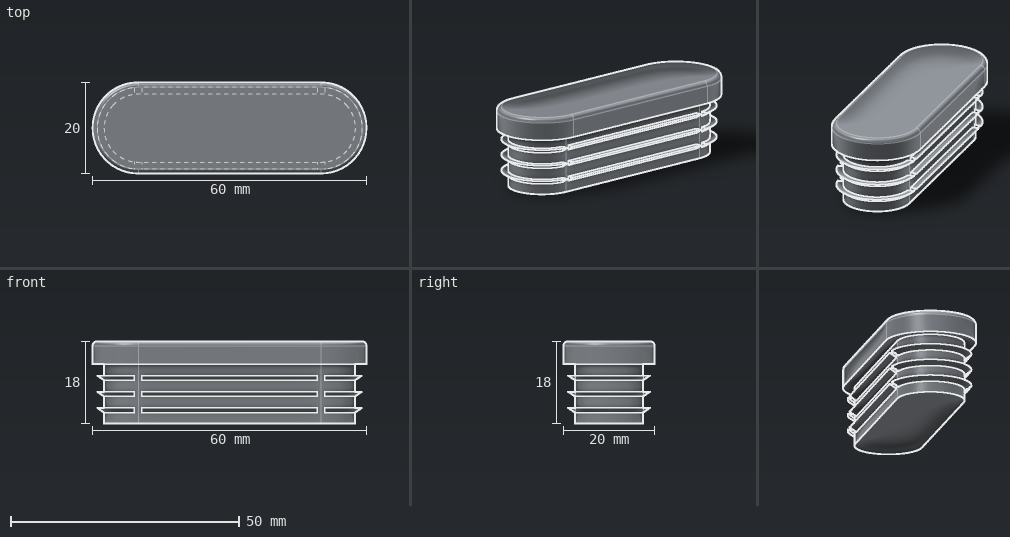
import cadquery as cq
import math

length = 60.0
height = 18.0
width = length / 3
cap_height = 5.0
cap_edge_radius = 1.0

cap_overhang = 2.5
plug_height = height - cap_height
plug_length = length - 2 * cap_overhang
plug_width = width - 2 * cap_overhang

fin_reach = 1.5
fin_height = 1.0
fin_count = 3
fin_pitch = 3.55
lowest_fin_top = 3.4

gap_width = 1.6
gap_center = (length - width) / 2


def rounded_bar(bar_length, bar_width, bottom, bar_height, taper=0):
    """Extrude an outline with two straight sides and semicircular ends."""
    return (
        cq.Workplane("XY", origin=(0, 0, bottom))
        .slot2D(bar_length, bar_width)
        .extrude(bar_height, taper=taper)
    )


def make_cap():
    cap = rounded_bar(length, width, plug_height, cap_height)
    return cap.faces(">Z").edges().fillet(cap_edge_radius)


def make_fins():
    fin_taper = -math.degrees(math.atan2(fin_reach, fin_height))
    fin_bottom = lowest_fin_top - fin_height
    fin = rounded_bar(plug_length, plug_width, fin_bottom, fin_height, fin_taper)
    gaps = (
        cq.Workplane("XY")
        .pushPoints([(-gap_center, 0), (gap_center, 0)])
        .rect(gap_width, width)
        .extrude(plug_height)
    )
    fin = fin.cut(gaps)
    return [fin.translate((0, 0, i * fin_pitch)) for i in range(fin_count)]


result = rounded_bar(plug_length, plug_width, 0, plug_height).union(make_cap())
for fin in make_fins():
    result = result.union(fin)